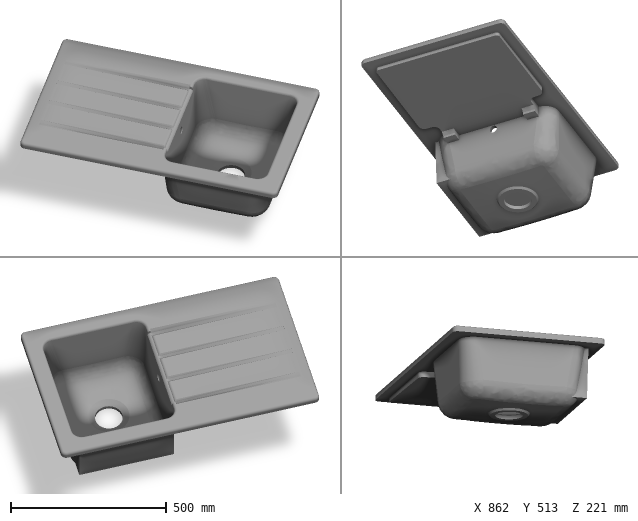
import cadquery as cq


LENGTH = 862.0
WIDTH = 513.0
RIM_HEIGHT = 21.0
RIM_CORNER = 17.0
RIM_EDGE_ROUND = 9.0

TOTAL_DEPTH = 221.0

CAVITY_TOP_X = (33.0, 376.0)
CAVITY_TOP_HALF_Y = 202.0
CAVITY_TOP_CORNER = 33.0
WALL_FOOT_X = (47.0, 360.0)
WALL_FOOT_HALF_Y = 187.0
WALL_FOOT_CORNER = 50.0
WALL_FOOT_DEPTH = 153.0
FLOOR_ROUND = 36.0
LIP_ROUND = 8.0

SHELL_TOP_X = (21.0, 388.0)
SHELL_TOP_HALF_Y = 214.0
SHELL_TOP_CORNER = 47.0
SHELL_FOOT_X = (31.0, 377.0)
SHELL_FOOT_HALF_Y = 202.0
SHELL_FOOT_CORNER = 60.0
SHELL_FOOT_DEPTH = 158.0
SHELL_ROUND = 54.0

WASTE_X = 204.0
WASTE_HOLE_DIAMETER = 90.0
WASTE_SEAT_DIAMETER = 133.0
WASTE_SEAT_DEPTH = 10.0
WASTE_BOSS_DIAMETER = 135.0
WASTE_BOSS_CHAMFER = 6.0
FLOOR_DEPTH = 198.0
UNDERSIDE_DEPTH = 215.0
FLOOR_FALL = 0.06
UNDERSIDE_FALL = 0.04

OVERFLOW_DIAMETER = 25.0
OVERFLOW_DEPTH = 54.0

BACK_RIB_X = (46.5, 362.0)
BACK_RIB_TOP_Y = 219.0
BACK_RIB_FOOT_Y = 214.0
BACK_RIB_DEPTH = 187.0

TRAY_LEFT = -392.0
TRAY_HALF_Y = 220.0
TRAY_CORNER = 11.0
TRAY_SHOULDER_X = -72.0
TRAY_SHOULDER_ROUND = 20.0
TRAY_NECK_HALF_Y = 164.0
TRAY_DEPTH_LEFT = 33.0
TRAY_DEPTH_RIGHT = 40.0

PAD_X = -7.0
PAD_WIDTH = 42.0
PAD_DEPTH = 58.0
PAD_SLOPE_LENGTH = 10.0

RECESS_LEFT = -394.0
RECESS_HALF_Y = 157.0
RECESS_SIDE_WIDTH = 9.0
RECESS_START_DEPTH = 0.4
RECESS_END_X = 23.0
RECESS_END_DEPTH = 10.0
RECESS_OVER_X = 36.0
RECESS_OVER_DROP = 13.0

PANEL_COUNT = 3
PANEL_PITCH = 96.0
PANEL_CENTRE_Y = 2.0
PANEL_START_HALF_Y = 40.0
PANEL_BASE_END_HALF_Y = 43.0
PANEL_TOP_END_HALF_Y = 37.0
PANEL_LEAD_LENGTH = 9.0
PANEL_LEAD_FALL = 0.4
PANEL_END_X = 15.0
PANEL_END_DEPTH = 5.0

JOIN_DEPTH = 9.0

CUT_OVERLAP = 9.0


def rounded_section(x_span, half_y, corner, z):
    """Rounded rectangle lying level at height z."""
    x_min, x_max = x_span
    sketch = cq.Sketch().rect(x_max - x_min, 2 * half_y).vertices().fillet(corner)
    return sketch.moved(cq.Location(cq.Vector((x_min + x_max) / 2, 0, z)))


def above_cone(depth, fall):
    """Space above a shallow cone centred on the waste, falling to the given depth at the seat edge."""
    apex_z = -depth - fall * WASTE_SEAT_DIAMETER / 2
    return (
        cq.Workplane("XZ")
        .moveTo(0, apex_z)
        .lineTo(LENGTH, apex_z + fall * LENGTH)
        .lineTo(LENGTH, TOTAL_DEPTH)
        .lineTo(0, TOTAL_DEPTH)
        .close()
        .revolve(360, (0, 0, 0), (0, 1, 0))
        .translate((WASTE_X, 0, 0))
    )


def tapered_tub(top, foot, foot_depth, depth, fall, base_round):
    """Tub with drafted walls, a conical base and a rounded base edge.

    top and foot are (X span, half width in Y, corner radius). The top lies at Z = 0 and the
    walls run on past the foot until they are below the cone.
    """
    loft_depth = TOTAL_DEPTH
    reach = loft_depth / foot_depth

    def extend(top_size, foot_size):
        return top_size + (foot_size - top_size) * reach

    top_span, top_half_y, top_corner = top
    foot_span, foot_half_y, foot_corner = foot
    base_span = [extend(*ends) for ends in zip(top_span, foot_span)]
    base_half_y = extend(top_half_y, foot_half_y)
    base_corner = extend(top_corner, foot_corner)
    top_section = rounded_section(top_span, top_half_y, top_corner, 0)
    base_section = rounded_section(base_span, base_half_y, base_corner, -loft_depth)
    tub = cq.Workplane("XY").placeSketch(top_section, base_section).loft()
    return tub.intersect(above_cone(depth, fall)).faces("<Z").edges().fillet(base_round)


def make_rim():
    rim = cq.Workplane("XY").box(LENGTH, WIDTH, RIM_HEIGHT, centered=(True, True, False))
    rim = rim.translate((0, 0, -RIM_HEIGHT)).edges("|Z").fillet(RIM_CORNER)
    return rim.faces(">Z").edges().fillet(RIM_EDGE_ROUND)


def make_shell():
    """Outer bowl, trimmed so that it starts inside the rim plate."""
    shell = tapered_tub(
        (SHELL_TOP_X, SHELL_TOP_HALF_Y, SHELL_TOP_CORNER),
        (SHELL_FOOT_X, SHELL_FOOT_HALF_Y, SHELL_FOOT_CORNER),
        SHELL_FOOT_DEPTH,
        UNDERSIDE_DEPTH,
        UNDERSIDE_FALL,
        SHELL_ROUND,
    )
    trim = cq.Workplane("XY", origin=(0, 0, -JOIN_DEPTH)).rect(LENGTH, WIDTH).extrude(TOTAL_DEPTH)
    return shell.cut(trim)


def make_cavity():
    return tapered_tub(
        (CAVITY_TOP_X, CAVITY_TOP_HALF_Y, CAVITY_TOP_CORNER),
        (WALL_FOOT_X, WALL_FOOT_HALF_Y, WALL_FOOT_CORNER),
        WALL_FOOT_DEPTH,
        FLOOR_DEPTH,
        FLOOR_FALL,
        FLOOR_ROUND,
    )


def make_waste_boss():
    boss = cq.Workplane("XY", origin=(WASTE_X, 0, -TOTAL_DEPTH)).circle(WASTE_BOSS_DIAMETER / 2)
    return boss.extrude(TOTAL_DEPTH - FLOOR_DEPTH).faces("<Z").edges().chamfer(WASTE_BOSS_CHAMFER)


def make_waste_opening():
    """Conical seat narrowing into a straight hole."""
    seat_radius = WASTE_SEAT_DIAMETER / 2
    hole_radius = WASTE_HOLE_DIAMETER / 2
    return (
        cq.Workplane("XZ")
        .moveTo(0, CUT_OVERLAP - FLOOR_DEPTH)
        .lineTo(seat_radius, CUT_OVERLAP - FLOOR_DEPTH)
        .lineTo(seat_radius, -FLOOR_DEPTH)
        .lineTo(hole_radius, -FLOOR_DEPTH - WASTE_SEAT_DEPTH)
        .lineTo(hole_radius, -TOTAL_DEPTH)
        .lineTo(0, -TOTAL_DEPTH)
        .close()
        .revolve(360, (0, 0, 0), (0, 1, 0))
        .translate((WASTE_X, 0, 0))
    )


def make_overflow():
    """Level hole from the drainer side through one bowl wall."""
    outside = SHELL_TOP_X[0]
    length = WALL_FOOT_X[0] - outside
    start = cq.Workplane("YZ", origin=(outside, 0, -OVERFLOW_DEPTH))
    return start.circle(OVERFLOW_DIAMETER / 2).extrude(length)


def make_back_rib():
    x_min, x_max = BACK_RIB_X
    return (
        cq.Workplane("YZ", origin=(x_min, 0, 0))
        .moveTo(CAVITY_TOP_HALF_Y, -JOIN_DEPTH)
        .lineTo(BACK_RIB_TOP_Y, -JOIN_DEPTH)
        .lineTo(BACK_RIB_FOOT_Y, -BACK_RIB_DEPTH)
        .lineTo(WALL_FOOT_HALF_Y - FLOOR_ROUND, -BACK_RIB_DEPTH)
        .close()
        .extrude(x_max - x_min)
    )


def make_tray():
    """Body under the drainer: sloping underside, S-shaped shoulders narrowing to a neck."""
    bend = TRAY_SHOULDER_ROUND
    shoulder_end_x = TRAY_SHOULDER_X + bend
    neck_x = shoulder_end_x + bend
    end_x = SHELL_FOOT_X[0]
    half = (
        cq.Workplane("XY")
        .moveTo(TRAY_LEFT, 0)
        .lineTo(TRAY_LEFT, TRAY_HALF_Y - TRAY_CORNER)
        .radiusArc((TRAY_LEFT + TRAY_CORNER, TRAY_HALF_Y), TRAY_CORNER)
        .lineTo(TRAY_SHOULDER_X, TRAY_HALF_Y)
        .radiusArc((shoulder_end_x, TRAY_HALF_Y - bend), bend)
        .lineTo(shoulder_end_x, TRAY_NECK_HALF_Y + bend)
        .radiusArc((neck_x, TRAY_NECK_HALF_Y), -bend)
        .lineTo(end_x, TRAY_NECK_HALF_Y)
        .lineTo(end_x, 0)
        .close()
        .extrude(-TRAY_DEPTH_RIGHT)
    )
    depth_envelope = (
        cq.Workplane("XZ")
        .moveTo(TRAY_LEFT, -JOIN_DEPTH)
        .lineTo(TRAY_LEFT, -TRAY_DEPTH_LEFT)
        .lineTo(PAD_X, -TRAY_DEPTH_RIGHT)
        .lineTo(end_x, -TRAY_DEPTH_RIGHT)
        .lineTo(end_x, -JOIN_DEPTH)
        .close()
        .extrude(WIDTH / 2, both=True)
    )
    return half.union(half.mirror("XZ")).intersect(depth_envelope)


def make_pads():
    """Two pads flush with the sides of the tray neck, each with a sloping front corner."""
    slope_start_x = PAD_X - PAD_SLOPE_LENGTH
    pad = (
        cq.Workplane("XZ")
        .moveTo(slope_start_x, -RIM_HEIGHT)
        .lineTo(slope_start_x, -TRAY_DEPTH_RIGHT)
        .lineTo(PAD_X, -TRAY_DEPTH_RIGHT - PAD_SLOPE_LENGTH)
        .lineTo(PAD_X, -PAD_DEPTH)
        .lineTo(SHELL_FOOT_X[0], -PAD_DEPTH)
        .lineTo(SHELL_FOOT_X[0], -RIM_HEIGHT)
        .close()
        .extrude(PAD_WIDTH / 2, both=True)
    )
    y = TRAY_NECK_HALF_Y - PAD_WIDTH / 2
    return pad.translate((0, y, 0)).union(pad.translate((0, -y, 0)))


def loft_along_x(start_x, start_half, end_x, end_half):
    """Loft between two outlines in YZ planes, each given by its +Y half and mirrored to -Y."""
    sections = cq.Workplane("YZ", origin=(start_x, 0, 0))
    for offset, half in ((0, start_half), (end_x - start_x, end_half)):
        outline = half + [(-y, z) for y, z in reversed(half)]
        sections = sections.workplane(offset=offset).polyline(outline).close()
    return sections.loft(ruled=True)


def make_recess_space():
    """Space over the recess floor, before the panels are left standing."""
    floor_half = RECESS_HALF_Y - RECESS_SIDE_WIDTH
    over_z = -RECESS_END_DEPTH - RECESS_OVER_DROP
    over_floor = (
        cq.Workplane("XZ")
        .moveTo(RECESS_LEFT, 0)
        .lineTo(RECESS_END_X, -RECESS_END_DEPTH)
        .tangentArcPoint((RECESS_OVER_X, over_z), relative=False)
        .lineTo(RECESS_OVER_X + CUT_OVERLAP, over_z)
        .lineTo(RECESS_OVER_X + CUT_OVERLAP, CUT_OVERLAP)
        .lineTo(RECESS_LEFT, CUT_OVERLAP)
        .close()
        .extrude(floor_half, both=True)
    )

    def half_section(depth):
        return [(RECESS_HALF_Y, CUT_OVERLAP), (RECESS_HALF_Y, 0), (floor_half, -depth)]

    between_sides = loft_along_x(
        RECESS_LEFT, half_section(RECESS_START_DEPTH), RECESS_END_X, half_section(RECESS_END_DEPTH)
    )
    return over_floor.union(between_sides)


def make_panel():
    """Panel at Y = 0: sides growing steadily in height, end rounded down to the recess floor."""
    lead_x = RECESS_LEFT + PANEL_LEAD_LENGTH
    base_z = -RECESS_END_DEPTH
    root_z = base_z - RECESS_OVER_DROP
    start_half = [
        (PANEL_START_HALF_Y, root_z),
        (PANEL_START_HALF_Y, -PANEL_LEAD_FALL),
        (PANEL_START_HALF_Y, 0),
    ]
    end_half = [
        (PANEL_BASE_END_HALF_Y, root_z),
        (PANEL_BASE_END_HALF_Y, base_z),
        (PANEL_TOP_END_HALF_Y, -PANEL_END_DEPTH),
    ]
    between_sides = loft_along_x(RECESS_LEFT, start_half, RECESS_END_X, end_half)
    under_top = (
        cq.Workplane("XZ")
        .moveTo(RECESS_LEFT, root_z)
        .lineTo(RECESS_LEFT, 0)
        .lineTo(lead_x, -PANEL_LEAD_FALL)
        .lineTo(PANEL_END_X, -PANEL_END_DEPTH)
        .tangentArcPoint((RECESS_END_X, base_z), relative=False)
        .lineTo(RECESS_END_X, root_z)
        .close()
        .extrude(PANEL_PITCH / 2, both=True)
    )
    return between_sides.intersect(under_top)


def make_recess():
    recess = make_recess_space()
    panel = make_panel()
    for index in range(PANEL_COUNT):
        steps_from_middle = index - (PANEL_COUNT - 1) / 2
        recess = recess.cut(panel.translate((0, PANEL_CENTRE_Y + steps_from_middle * PANEL_PITCH, 0)))
    return recess


def round_bowl_lip(body):
    """Round the edge where the bowl opens through the rim top."""
    x_min, x_max = CAVITY_TOP_X
    margin = LIP_ROUND
    bowl_mouth = cq.selectors.BoxSelector(
        (x_min - margin, -CAVITY_TOP_HALF_Y - margin, -margin),
        (x_max + margin, CAVITY_TOP_HALF_Y + margin, margin),
        boundingbox=True,
    )
    return body.faces(">Z").wires(bowl_mouth).edges().fillet(LIP_ROUND)


body = make_rim()
for added_part in (make_tray(), make_pads(), make_shell(), make_back_rib(), make_waste_boss()):
    body = body.union(added_part)

body = round_bowl_lip(body.cut(make_cavity()))
for removed_part in (make_waste_opening(), make_overflow(), make_recess()):
    body = body.cut(removed_part)

result = body